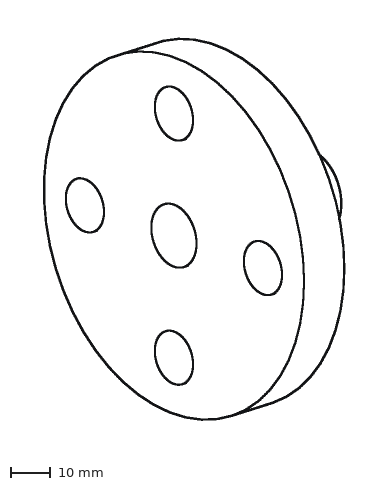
import cadquery as cq

flange_diameter = 95.0
flange_thickness = 14.0

overall_length = 47.0
pipe_diameter = 23.0
bore_diameter = 16.5

bolt_hole_diameter = 14.0
bolt_circle_diameter = 65.0
side_hole_drop = 0.3


def cylinder_along_y(diameter, length):
    """Solid cylinder on the Y axis, from Y = 0 to Y = length."""
    return cq.Workplane("XZ").circle(diameter / 2).extrude(-length)


def bolt_holes():
    """Cutters for the four holes through the flange."""
    bolt_circle_radius = bolt_circle_diameter / 2
    centers = [
        (0, bolt_circle_radius),
        (0, -bolt_circle_radius),
        (bolt_circle_radius, -side_hole_drop),
        (-bolt_circle_radius, -side_hole_drop),
    ]
    return (
        cq.Workplane("XZ")
        .pushPoints(centers)
        .circle(bolt_hole_diameter / 2)
        .extrude(-flange_thickness)
    )


flange = cylinder_along_y(flange_diameter, flange_thickness)
pipe = cylinder_along_y(pipe_diameter, overall_length)
bore = cylinder_along_y(bore_diameter, overall_length)

result = flange.union(pipe).cut(bore).cut(bolt_holes())